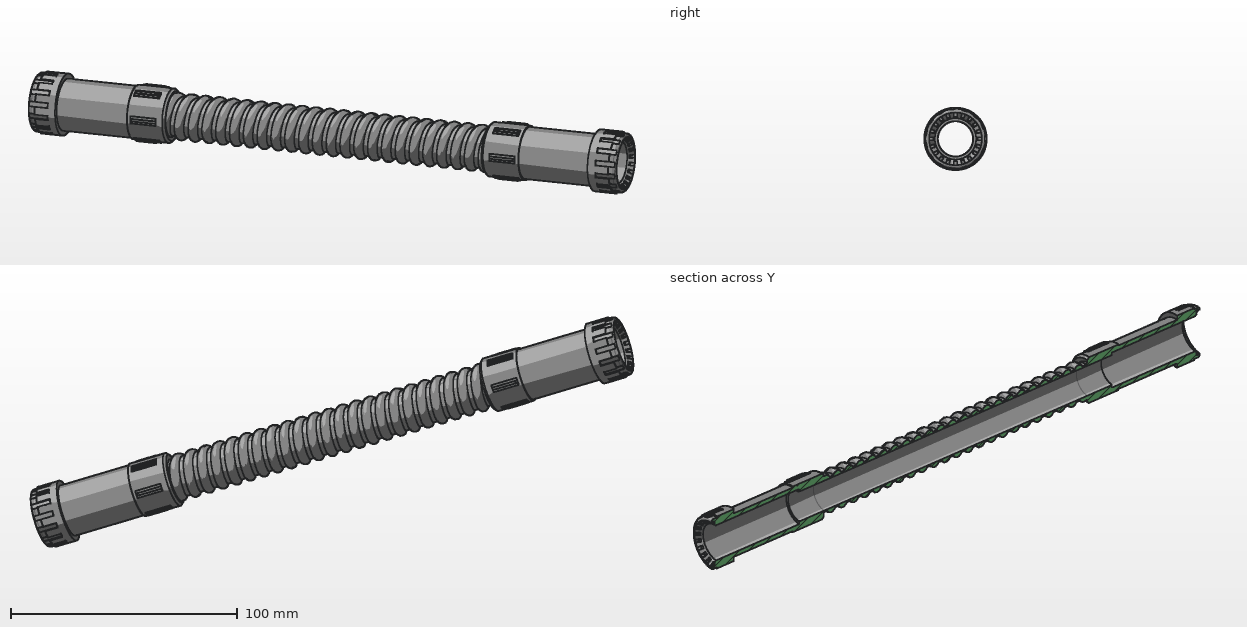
import cadquery as cq

length = 276.0
joint_overlap = 0.5

tube_radius = 11.5
tube_bore_end = 49.7

hose_bore_radius = 7.7
tube_bore_radius = 9.0
mouth_radius = 11.5
mouth_depth = 2.8
serration_count = 20
serration_width = 1.5
serration_depth = 2.0

hose_radius = 8.8
ridge_radius = 10.5
ridge_base_width = 4.7
ridge_turns = 24.6
first_crest_x = 58.2
ridge_run = length - 2 * first_crest_x
ridge_pitch = ridge_run / ridge_turns

collar_start = 46.0
collar_end = 63.8
collar_radius = 12.1
collar_chamfer = 1.0

lug_count = 6
lug_start = 47.7
lug_end = 59.5
lug_width = 3.3
lug_radius = 12.5
lug_rib_top_start = 48.5
lug_rib_top_end = 57.0
lug_rib_width = 1.0
lug_rib_radius = 13.0

nut_length = 13.0
nut_radius = 13.8
nose_radius = 13.2
nose_length = 3.3
nose_fillet = 1.5
groove_count = 15
groove_end = 9.5
groove_width = 2.2
groove_floor_radius = 13.0


def cylinder(radius, start, end):
    return cq.Workplane("YZ").workplane(offset=start).circle(radius).extrude(end - start)


def around_x(body, index, count):
    return body.rotate((0, 0, 0), (1, 0, 0), index * 360 / count)


def mirror_to_far_end(body):
    return body.mirror("YZ", (length / 2, 0, 0))


def make_nut():
    """Nut with a rounded nose and grip grooves; a groove faces +Y, a grip pad faces -Y."""
    nose = cylinder(nose_radius, 0, nose_length).faces("<X").edges().fillet(nose_fillet)
    nut = cylinder(nut_radius, nose_length, nut_length).union(nose)
    groove = (
        cq.Workplane("XY")
        .box(groove_end, nut_radius, groove_width, centered=(False, False, True))
        .translate((0, groove_floor_radius, 0))
    )
    for index in range(groove_count):
        nut = nut.cut(around_x(groove, index, groove_count))
    return nut


def make_collar():
    """Collar with a bevelled hose end and a ring of lugs."""
    collar = cylinder(collar_radius, collar_start, collar_end).faces(">X").chamfer(collar_chamfer)
    foot_radius = collar_radius - joint_overlap
    pad = (
        cq.Workplane("XY")
        .moveTo(lug_start, foot_radius)
        .lineTo(lug_start, lug_radius)
        .lineTo(lug_end, lug_radius)
        .lineTo(lug_end, foot_radius)
        .close()
        .extrude(lug_width / 2, both=True)
    )
    rib = (
        cq.Workplane("XY")
        .moveTo(lug_start, foot_radius)
        .lineTo(lug_start, lug_radius)
        .lineTo(lug_rib_top_start, lug_rib_radius)
        .lineTo(lug_rib_top_end, lug_rib_radius)
        .lineTo(lug_end, lug_radius)
        .lineTo(lug_end, foot_radius)
        .close()
        .extrude(lug_rib_width / 2, both=True)
    )
    lug = pad.union(rib)
    for index in range(lug_count):
        collar = collar.union(around_x(lug, index, lug_count))
    return collar


def make_mouth():
    """Space removed at the open end: a cone with a ring of radial serrations."""
    mouth = (
        cq.Workplane("XY")
        .lineTo(0, mouth_radius)
        .lineTo(mouth_depth, tube_bore_radius)
        .lineTo(mouth_depth, 0)
        .close()
        .revolve(360, (0, 0, 0), (1, 0, 0))
    )
    serration = cq.Workplane("XY").box(
        serration_depth, mouth_radius, serration_width, centered=(False, False, True)
    )
    for index in range(serration_count):
        mouth = mouth.union(around_x(serration, index, serration_count))
    return mouth


def make_fitting():
    tube = cylinder(tube_radius, nut_length - joint_overlap, tube_bore_end)
    solid = tube.union(make_nut()).union(make_collar())
    tube_bore = cylinder(tube_bore_radius, 0, tube_bore_end)
    hose_bore = cylinder(hose_bore_radius, tube_bore_end, collar_end)
    return solid.cut(tube_bore).cut(hose_bore).cut(make_mouth())


def make_ridge():
    """Spiral ridge swept along Z, then laid along X with its first crest at +Z."""
    helix = cq.Wire.makeHelix(ridge_pitch, ridge_run, hose_radius, lefthand=True)
    foot_radius = hose_radius - joint_overlap
    half_base = ridge_base_width / 2
    section = (
        cq.Workplane("XZ")
        .moveTo(foot_radius, -half_base)
        .threePointArc((ridge_radius, 0), (foot_radius, half_base))
        .close()
    )
    ridge = section.sweep(cq.Workplane(obj=helix), isFrenet=True)
    laid_along_x = ridge.rotate((0, 0, 0), (0, 1, 0), 90)
    return laid_along_x.rotate((0, 0, 0), (1, 0, 0), 180).translate((first_crest_x, 0, 0))


def make_hose():
    """Corrugated hose, trimmed to meet the two collars face to face."""
    core_start = first_crest_x - ridge_pitch
    core = cylinder(hose_radius, core_start, length - core_start)
    ridged = core.union(make_ridge(), clean=False)
    trimmed = ridged.intersect(cylinder(nut_radius, collar_end, length - collar_end), clean=False)
    return trimmed.cut(cylinder(hose_bore_radius, collar_end, length - collar_end), clean=False)


fitting = make_fitting()
both_fittings = fitting.add(mirror_to_far_end(fitting)).combine(clean=False)
result = make_hose().union(both_fittings, glue=True, clean=False).solids()